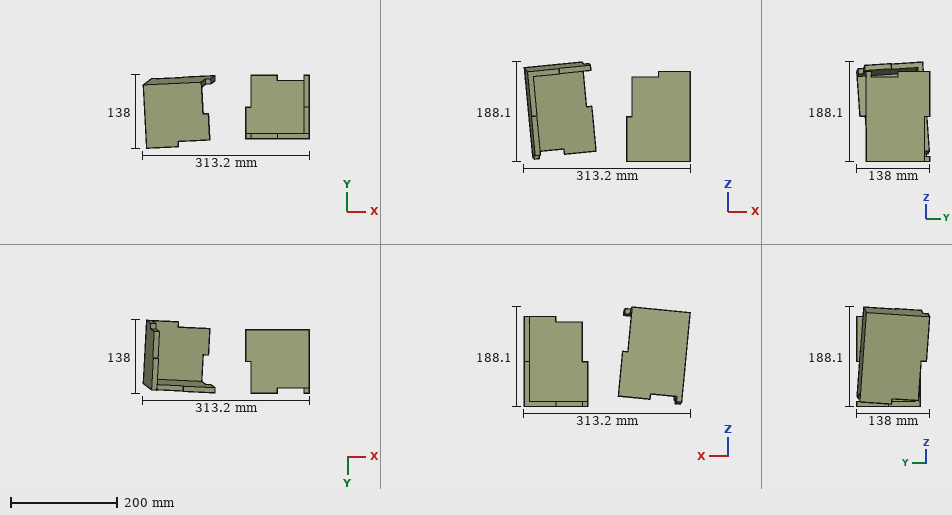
import cadquery as cq

BOX_LENGTH = 120.0
BOX_WIDTH = 120.0
BOX_HEIGHT = 170.0
WALL = 10.0

STEP_X = BOX_LENGTH / 2
STEP_Y = BOX_WIDTH / 2
STEP_Z = BOX_HEIGHT / 2

INNER_X = BOX_LENGTH - WALL
INNER_Y = BOX_WIDTH - WALL
INNER_Z = BOX_HEIGHT - WALL

TILT_X = 3.835
TILT_Y = -5.61
TILT_Z = 2.69
LIFT_OFFSET = (-170.778, -5.844, 0.522)


def block(x_range, y_range, z_range):
    """Axis-aligned block between the given coordinate pairs."""
    size = [high - low for low, high in (x_range, y_range, z_range)]
    corner = (x_range[0], y_range[0], z_range[0])
    return cq.Workplane("XY").box(*size, centered=False).translate(corner)


def make_lower_half():
    """Floor, front wall and right wall, with a half-length step along each free edge."""
    front_wall = (
        block((WALL, STEP_X), (0, WALL), (0, INNER_Z))
        .union(block((STEP_X, BOX_LENGTH), (0, WALL), (0, BOX_HEIGHT)))
        .union(block((0, WALL), (0, WALL), (0, STEP_Z)))
    )
    right_wall = (
        block((INNER_X, BOX_LENGTH), (0, INNER_Y), (0, INNER_Z))
        .union(block((INNER_X, BOX_LENGTH), (STEP_Y, BOX_WIDTH), (STEP_Z, BOX_HEIGHT)))
    )
    floor = (
        block((WALL, BOX_LENGTH), (0, INNER_Y), (0, WALL))
        .union(block((0, WALL), (0, STEP_Y), (0, WALL)))
        .union(block((WALL, STEP_X), (INNER_Y, BOX_WIDTH), (0, WALL)))
    )
    return front_wall.union(right_wall).union(floor).clean()


def make_upper_half(mating_half):
    """Lid, back wall and left wall: the rest of the box shell around the lower half."""
    outside = block((0, BOX_LENGTH), (0, BOX_WIDTH), (0, BOX_HEIGHT))
    cavity = block((WALL, INNER_X), (WALL, INNER_Y), (WALL, INNER_Z))
    return outside.cut(cavity).cut(mating_half).clean()


def lift_off(half):
    """Tilt a half about the lower front left box corner and move it aside."""
    origin = (0, 0, 0)
    return (
        half.rotate(origin, (1, 0, 0), TILT_X)
        .rotate(origin, (0, 1, 0), TILT_Y)
        .rotate(origin, (0, 0, 1), TILT_Z)
        .translate(LIFT_OFFSET)
    )


lower_half = make_lower_half()
upper_half = lift_off(make_upper_half(lower_half))

result = cq.Compound.makeCompound([lower_half.val(), upper_half.val()])